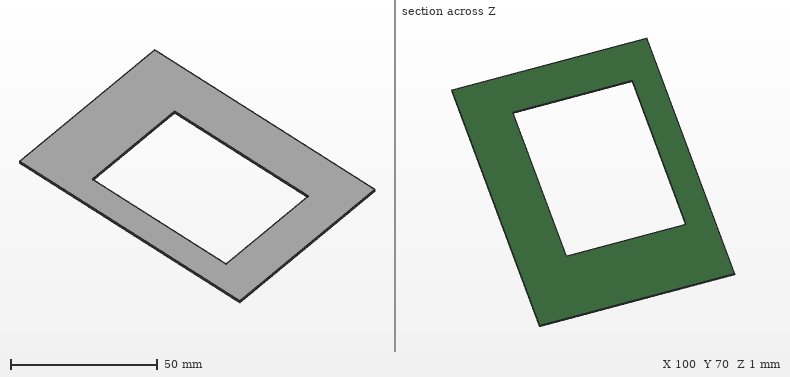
import cadquery as cq

plate_length = 100.0
plate_width = 70.0
plate_thickness = 1.0

left_margin = 24.2
right_margin = 15.0
front_margin = 10.0
back_margin = 17.3
window_length = plate_length - left_margin - right_margin
window_width = plate_width - front_margin - back_margin

plate = cq.Workplane("XY").box(plate_length, plate_width, plate_thickness)

window = (
    cq.Workplane("XY")
    .box(window_length, window_width, plate_thickness)
    .translate(((left_margin - right_margin) / 2, (front_margin - back_margin) / 2, 0))
)

result = plate.cut(window)